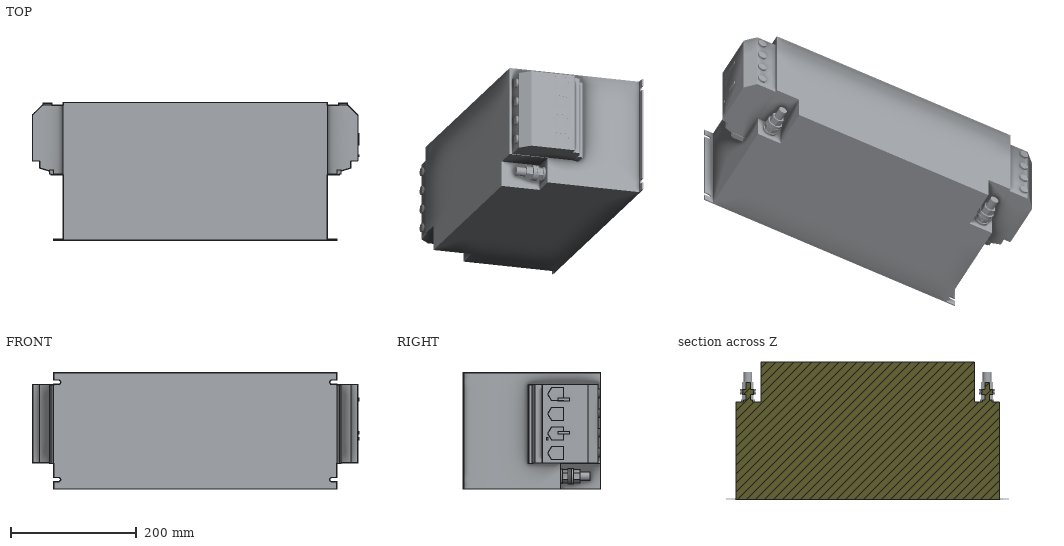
import cadquery as cq

HOUSING_LENGTH = 420.0
HEIGHT = 185.0
DEPTH = 219.1
PLATE_LENGTH = 450.0
PLATE_THICKNESS = 2.0
HALF_HOUSING = HOUSING_LENGTH / 2
HALF_PLATE = PLATE_LENGTH / 2

SLOT_WIDTH = 6.5
SLOT_LENGTH = 11.0
SLOT_Z = 77.4

SLICE_COUNT = 4
SLICE_HEIGHT = 31.25
BLOCK_TOP = 74.0
BLOCK_BOTTOM = BLOCK_TOP - SLICE_COUNT * SLICE_HEIGHT
BLOCK_REACH = 48.9
BLOCK_BACK_Y = 214.9
BACK_CHAMFER = 16.0
BLOCK_STEP_Y = 125.7
STEP_REACH = 37.5
STEP_CHAMFER = 1.2
SLOPE_START_Y = 114.7
SLOPE_END_Y = 110.0
NOSE_REACH = 22.0
BLOCK_FRONT_Y = 105.2

NOTCH_REACH = 15.4
NOTCH_Y = 111.6
NOTCH_DEPTH = 0.8

RAIL_REACH = 19.0
RAIL_FRONT_Y = 103.8
RAIL_TOP = BLOCK_TOP - NOTCH_DEPTH
FOOT_THICKNESS = 1.0
RAIL_BOTTOM = BLOCK_BOTTOM - FOOT_THICKNESS

SCREW_DIAMETER = 14.0
SCREW_HEIGHT = 3.3
SCREW_REACH = 25.0
SCREW_Z_OFFSET = 1.0

ENTRY_BACK_Y = 160.4
ENTRY_SHOULDER_Y = 141.0
ENTRY_TIP_Y = 135.0
ENTRY_HEIGHT = 20.8
ENTRY_DEPTH = 0.2

POCKET_FRONT_Y = 155.5
POCKET_HEIGHT = 40.8
POCKET_DEPTH = 40.0
STUD_X = HALF_HOUSING - POCKET_DEPTH / 2
STUD_Z = -HEIGHT / 2 + POCKET_HEIGHT / 2
STUD_DIAMETER = 13.6
STUD_LENGTH = 47.0
COLLAR_DIAMETER = 22.5
COLLAR_LENGTH = 3.3
NUT_CORNERS = 21.2
INNER_NUT_LENGTH = 8.5
WASHER_DIAMETERS = (25.0, 24.0, 25.0)
WASHER_THICKNESS = 2.9
OUTER_NUT_LENGTH = 10.6

MARK_HEIGHT = 1.7
MARK_WIDTH = 4.7
MARKS = ((160.6, 50.0, 18.0), (160.6, -3.0, 18.0), (134.2, -12.5, 2.0))


def box(x_range, y_range, z_range):
    """Axis-aligned box between pairs of limits."""
    size = [limits[1] - limits[0] for limits in (x_range, y_range, z_range)]
    return cq.Workplane("XY").box(*size, centered=False).translate((x_range[0], y_range[0], z_range[0]))


def rod(x, z, start_y, length, diameter):
    """Cylinder along +Y."""
    return cq.Workplane("XZ", origin=(x, start_y, z)).circle(diameter / 2).extrude(-length)


def hex_nut(x, z, start_y, length):
    """Hexagonal prism along +Y with two corners pointing up and down."""
    nut = cq.Workplane("XZ").polygon(6, NUT_CORNERS).extrude(-length)
    return nut.rotate((0, 0, 0), (0, 1, 0), 90).translate((x, start_y, z))


def mounting_plate():
    plate = box((-HALF_PLATE, HALF_PLATE), (0, PLATE_THICKNESS), (-HEIGHT / 2, HEIGHT / 2))
    return (
        plate.faces("<Y").workplane(origin=(0, 0, 0))
        .pushPoints([(x, z) for x in (-HALF_PLATE, HALF_PLATE) for z in (-SLOT_Z, SLOT_Z)])
        .slot2D(2 * SLOT_LENGTH, SLOT_WIDTH).cutThruAll()
    )


def housing():
    shell = box((-HALF_HOUSING, HALF_HOUSING), (PLATE_THICKNESS, DEPTH), (-HEIGHT / 2, HEIGHT / 2))
    pocket = box(
        (HALF_HOUSING - POCKET_DEPTH, HALF_HOUSING),
        (POCKET_FRONT_Y, DEPTH),
        (-HEIGHT / 2, -HEIGHT / 2 + POCKET_HEIGHT),
    )
    return shell.cut(pocket).cut(pocket.mirror("YZ"))


def block_slice(bottom_z):
    """One terminal slice at the +X end, extruded upward from bottom_z."""
    end_x = HALF_HOUSING + BLOCK_REACH
    step_x = HALF_HOUSING + STEP_REACH
    nose_x = HALF_HOUSING + NOSE_REACH
    outline = [
        (HALF_HOUSING, BLOCK_FRONT_Y),
        (nose_x, BLOCK_FRONT_Y),
        (nose_x, SLOPE_END_Y),
        (step_x, SLOPE_START_Y),
        (step_x, BLOCK_STEP_Y),
        (end_x - STEP_CHAMFER, BLOCK_STEP_Y),
        (end_x, BLOCK_STEP_Y + STEP_CHAMFER),
        (end_x, BLOCK_BACK_Y - BACK_CHAMFER),
        (end_x - BACK_CHAMFER, BLOCK_BACK_Y),
        (HALF_HOUSING, BLOCK_BACK_Y),
    ]
    body = cq.Workplane("XY", origin=(0, 0, bottom_z)).polyline(outline).close().extrude(SLICE_HEIGHT)
    middle_z = bottom_z + SLICE_HEIGHT / 2
    entry_outline = [
        (ENTRY_BACK_Y, middle_z - ENTRY_HEIGHT / 2),
        (ENTRY_SHOULDER_Y, middle_z - ENTRY_HEIGHT / 2),
        (ENTRY_TIP_Y, middle_z),
        (ENTRY_SHOULDER_Y, middle_z + ENTRY_HEIGHT / 2),
        (ENTRY_BACK_Y, middle_z + ENTRY_HEIGHT / 2),
    ]
    entry = cq.Workplane("YZ", origin=(end_x, 0, 0)).polyline(entry_outline).close().extrude(-ENTRY_DEPTH)
    screw = rod(
        HALF_HOUSING + SCREW_REACH, middle_z + SCREW_Z_OFFSET, BLOCK_BACK_Y, SCREW_HEIGHT, SCREW_DIAMETER
    )
    return body.cut(entry).union(screw)


def terminal_block():
    """Slices, rail and foot at the +X end; unmerged faces keep the seams between slices."""
    nose_x = HALF_HOUSING + NOSE_REACH
    block = block_slice(BLOCK_BOTTOM)
    for index in range(1, SLICE_COUNT):
        block = block.union(block_slice(BLOCK_BOTTOM + index * SLICE_HEIGHT), clean=False)
    notch = box(
        (HALF_HOUSING + NOTCH_REACH, nose_x),
        (BLOCK_FRONT_Y, NOTCH_Y),
        (RAIL_TOP, BLOCK_TOP),
    )
    rail = box(
        (HALF_HOUSING, HALF_HOUSING + RAIL_REACH), (RAIL_FRONT_Y, BLOCK_FRONT_Y), (RAIL_BOTTOM, RAIL_TOP)
    )
    foot = box((HALF_HOUSING, nose_x), (BLOCK_FRONT_Y, NOTCH_Y), (RAIL_BOTTOM, BLOCK_BOTTOM))
    return block.cut(notch, clean=False).union(rail, clean=False).union(foot, clean=False)


def earth_stud():
    """Stud at the +X end, standing on the pocket wall and carrying collar, nuts and washers."""
    stud = rod(STUD_X, STUD_Z, POCKET_FRONT_Y, STUD_LENGTH, STUD_DIAMETER)
    y = POCKET_FRONT_Y
    stud = stud.union(rod(STUD_X, STUD_Z, y, COLLAR_LENGTH, COLLAR_DIAMETER))
    y += COLLAR_LENGTH
    stud = stud.union(hex_nut(STUD_X, STUD_Z, y, INNER_NUT_LENGTH))
    y += INNER_NUT_LENGTH
    for diameter in WASHER_DIAMETERS:
        stud = stud.union(rod(STUD_X, STUD_Z, y, WASHER_THICKNESS, diameter))
        y += WASHER_THICKNESS
    return stud.union(hex_nut(STUD_X, STUD_Z, y, OUTER_NUT_LENGTH))


def end_mark(y, z, length):
    """Raised bar on the +X end face of the terminal block."""
    face_x = HALF_HOUSING + BLOCK_REACH
    return box(
        (face_x, face_x + MARK_HEIGHT),
        (y - length / 2, y + length / 2),
        (z - MARK_WIDTH / 2, z + MARK_WIDTH / 2),
    )


result = housing().union(mounting_plate(), clean=False)
for fitting in (terminal_block(), earth_stud()):
    result = result.union(fitting, clean=False)
    result = result.union(fitting.mirror("YZ"), clean=False)
for mark in MARKS:
    result = result.union(end_mark(*mark), clean=False)